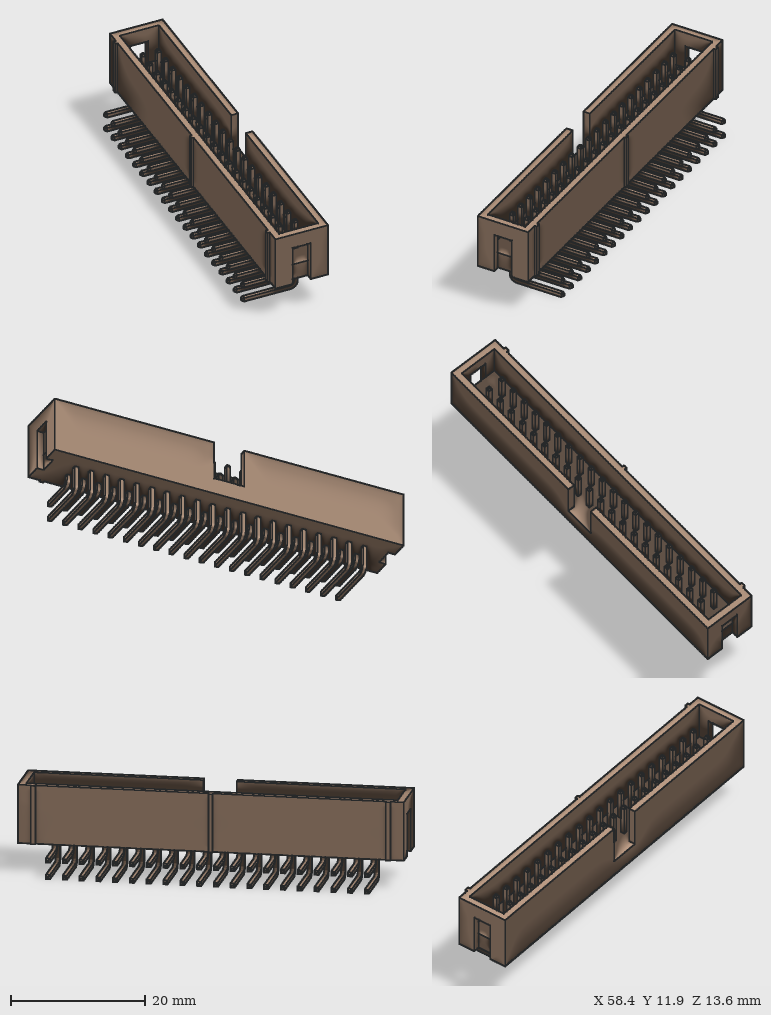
import cadquery as cq

length = 58.4
depth = 8.65
height = 9.0
wall = 1.1
floor_thickness = 2.7
key_width = 5.1

rib_projection = 0.35
end_rib_width = 0.7
middle_rib_width = 0.6
end_rib_inset = 2.35

slot_width = 3.0
slot_height = 6.55

pins_per_row = 20
row_length = 48.25
pitch = row_length / (pins_per_row - 1)
pin_size = 0.65
pin_top = 7.7
front_reach = 3.25
front_row_drop = 1.7
bend_radius = 1.0
tip_length = 0.35
tip_size = 0.3

row_centre = depth / 2
tail_end = -(depth + front_reach)


def box(size_x, size_y, size_z, x, back, bottom):
    """Block centred on x, reaching forward (-Y) from its back face and up from its bottom."""
    block = cq.Workplane("XY").box(size_x, size_y, size_z, centered=(True, False, False))
    return block.translate((x, back - size_y, bottom))


def make_shroud():
    shroud = box(length, depth, height, 0, 0, 0)
    cavity = box(length - 2 * wall, depth - 2 * wall, height - floor_thickness, 0, -wall, floor_thickness)
    key_notch = box(key_width, wall, height - floor_thickness, 0, 0, floor_thickness)
    shroud = shroud.cut(cavity).cut(key_notch)

    slot_back = -(row_centre - slot_width / 2)
    for side in (-1, 1):
        slot_x = side * (length - wall) / 2
        shroud = shroud.cut(box(wall, slot_width, slot_height, slot_x, slot_back, 0))

    end_rib_x = length / 2 - end_rib_inset
    for x, width in ((-end_rib_x, end_rib_width), (0, middle_rib_width), (end_rib_x, end_rib_width)):
        shroud = shroud.union(box(width, rib_projection + wall, height, x, wall - depth, 0))
    return shroud


def make_tip(plane):
    """Tapered pin end, growing along the normal of the given plane."""
    return (
        cq.Workplane(plane)
        .rect(pin_size, pin_size)
        .workplane(offset=tip_length)
        .rect(tip_size, tip_size)
        .loft(ruled=True)
    )


def make_pin(y, drop):
    """Pin on X = 0 standing at y, bent forward below the base with its tail axis at Z = -drop."""
    shaft_top = pin_top - tip_length
    tail_front = tail_end + tip_length
    path = (
        cq.Workplane("YZ")
        .moveTo(y, shaft_top)
        .lineTo(y, bend_radius - drop)
        .radiusArc((y - bend_radius, -drop), bend_radius)
        .lineTo(tail_front, -drop)
    )
    shaft = cq.Workplane("XY", origin=(0, y, shaft_top)).rect(pin_size, pin_size).sweep(path)
    top_tip = make_tip(cq.Plane((0, y, shaft_top), xDir=(1, 0, 0), normal=(0, 0, 1)))
    tail_tip = make_tip(cq.Plane((0, tail_front, -drop), xDir=(1, 0, 0), normal=(0, -1, 0)))
    return shaft.union(top_tip).union(tail_tip)


def make_pins():
    front_pin = make_pin(-(row_centre + pitch / 2), front_row_drop)
    back_pin = make_pin(-(row_centre - pitch / 2), front_row_drop + pitch)
    first_x = -row_length / 2
    pins = []
    for index in range(pins_per_row):
        offset = (first_x + index * pitch, 0, 0)
        pins.append(front_pin.val().translate(offset))
        pins.append(back_pin.val().translate(offset))
    return pins


result = cq.Workplane(make_shroud().val().fuse(*make_pins()))